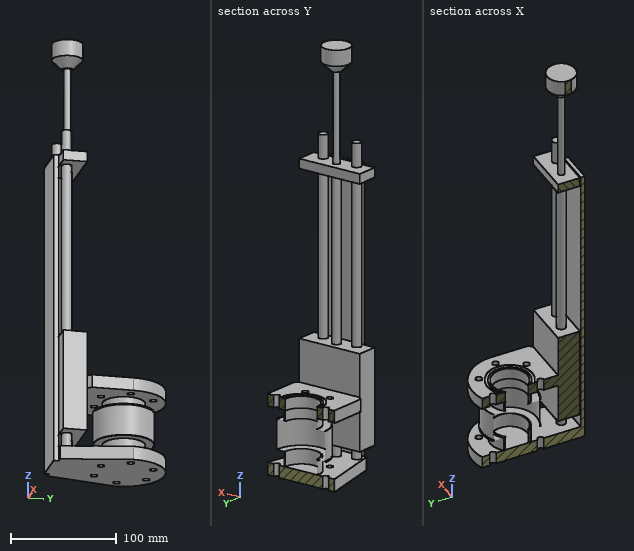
import cadquery as cq
import math

total_height = 426.0
flange_radius = 40.0
total_depth = 113.0
front_y = flange_radius - total_depth

base_thickness = 13.0
base_front_width = 52.0
strip_width = 40.0
strip_thickness = 4.5
strip_back_y = front_y + strip_thickness
rod_diameter = 10.0
rod_spacing = strip_width
rod_y = -60.5
rod_top_z = 331.5

block_width = 73.0
block_depth = 23.5
block_clearance = 1.0
block_front_y = strip_back_y + block_clearance
block_back_y = block_front_y + block_depth
block_bottom_z = 27.3
block_height = 99.0
plate_top_z = 307.0
plate_thickness = 10.2
plate_bottom_z = plate_top_z - plate_thickness

flange_bottom_z = 69.5
flange_thickness = 12.8
flange_top_z = flange_bottom_z + flange_thickness
corner_chamfer = flange_radius - block_width / 2
bore_radius = 18.7
recess_radius = 24.0
recess_depth = 0.5
step_radius = 21.0
step_depth = 0.5

bolt_count = 6
bolt_circle_radius = 29.5
bolt_hole_diameter = 6.5

cuff_radius = 20.5
sleeve_wall = 1.0
sleeve_radius = 29.5
sleeve_bottom_z = 27.5
sleeve_top_z = 59.5

screw_y = -55.0
screw_radius = 4.5
stem_radius = 3.5
knob_radius = 15.0
knob_neck_radius = 5.5
knob_bottom_z = 400.5
knob_cone_top_z = knob_bottom_z + knob_radius - knob_neck_radius

rod_points = [(side * rod_spacing / 2, rod_y) for side in (-1, 1)]


def box_between(width, y_min, y_max, z_min, z_max):
    """Box centred on X = 0."""
    return cq.Workplane("XY").box(
        width, y_max - y_min, z_max - z_min, centered=(True, False, False)
    ).translate((0, y_min, z_min))


def cylinders(points, diameter, z_min, z_max):
    """Vertical cylinders at the given XY points."""
    return (
        cq.Workplane("XY", origin=(0, 0, z_min))
        .pushPoints(points)
        .circle(diameter / 2)
        .extrude(z_max - z_min)
    )


def drill_bolt_holes(body, z_min, z_max):
    """Cut the ring of bolt holes around the bellows axis."""
    points = []
    for index in range(bolt_count):
        angle = 2 * math.pi * index / bolt_count
        points.append((bolt_circle_radius * math.cos(angle), bolt_circle_radius * math.sin(angle)))
    return body.cut(cylinders(points, bolt_hole_diameter, z_min, z_max))


def make_frame():
    """Tapered base with a round back, the upright front strip and the two guide rods."""
    base = (
        cq.Workplane("XY")
        .moveTo(flange_radius, 0)
        .threePointArc((0, flange_radius), (-flange_radius, 0))
        .lineTo(-base_front_width / 2, strip_back_y)
        .lineTo(base_front_width / 2, strip_back_y)
        .close()
        .extrude(base_thickness)
    )
    base = drill_bolt_holes(base, 0, base_thickness)
    strip = box_between(strip_width, front_y, strip_back_y, 0, plate_top_z)
    rods = cylinders(rod_points, rod_diameter, base_thickness, rod_top_z)
    return base.union(strip).union(rods)


def make_top_plate():
    """Plate near the top of the rods, bored for both rods and for the stem of the screw."""
    plate = box_between(block_width, block_front_y, block_back_y, plate_bottom_z, plate_top_z)
    plate = plate.cut(cylinders(rod_points, rod_diameter, plate_bottom_z, plate_top_z))
    return plate.cut(cylinders([(0, screw_y)], 2 * stem_radius, plate_bottom_z, plate_top_z))


def make_carriage():
    """Sliding block with the upper flange, bored for the rods, the screw and the bellows axis."""
    block_top_z = block_bottom_z + block_height
    block = box_between(block_width, block_front_y, block_back_y, block_bottom_z, block_top_z)
    block = block.cut(cylinders(rod_points, rod_diameter, block_bottom_z, block_top_z))
    block = block.cut(cylinders([(0, screw_y)], 2 * screw_radius, block_bottom_z, block_top_z))

    flange = (
        cq.Workplane("XY", origin=(0, 0, flange_bottom_z))
        .moveTo(flange_radius, 0)
        .threePointArc((0, flange_radius), (-flange_radius, 0))
        .lineTo(-flange_radius, block_back_y + corner_chamfer)
        .lineTo(-block_width / 2, block_back_y)
        .lineTo(block_width / 2, block_back_y)
        .lineTo(flange_radius, block_back_y + corner_chamfer)
        .close()
        .extrude(flange_thickness)
    )
    flange = drill_bolt_holes(flange, flange_bottom_z, flange_top_z)

    recess_floor_z = flange_top_z - recess_depth
    step_floor_z = recess_floor_z - step_depth
    axis = [(0, 0)]
    flange = flange.cut(cylinders(axis, 2 * recess_radius, recess_floor_z, flange_top_z))
    flange = flange.cut(cylinders(axis, 2 * step_radius, step_floor_z, flange_top_z))
    flange = flange.cut(cylinders(axis, 2 * bore_radius, flange_bottom_z, flange_top_z))
    return block.union(flange)


def make_bellows():
    """Thin tube between base and flange, swelling to a wider hollow sleeve around its middle."""
    axis = [(0, 0)]
    tube = cylinders(axis, 2 * cuff_radius, base_thickness, flange_bottom_z)
    tube = tube.union(cylinders(axis, 2 * sleeve_radius, sleeve_bottom_z, sleeve_top_z))
    tube = tube.cut(cylinders(axis, 2 * bore_radius, base_thickness, flange_bottom_z))
    cavity = cylinders(
        axis,
        2 * (sleeve_radius - sleeve_wall),
        sleeve_bottom_z + sleeve_wall,
        sleeve_top_z - sleeve_wall,
    )
    return tube.cut(cavity)


def make_screw():
    """Lead screw from the base to the top plate, its thinner stem and the conical knob."""
    return (
        cq.Workplane("XZ", origin=(0, screw_y, 0))
        .moveTo(0, base_thickness)
        .lineTo(screw_radius, base_thickness)
        .lineTo(screw_radius, plate_bottom_z)
        .lineTo(stem_radius, plate_bottom_z)
        .lineTo(stem_radius, knob_bottom_z)
        .lineTo(knob_neck_radius, knob_bottom_z)
        .lineTo(knob_radius, knob_cone_top_z)
        .lineTo(knob_radius, total_height)
        .lineTo(0, total_height)
        .close()
        .revolve(360, (0, 0, 0), (0, 1, 0))
    )


frame = make_frame()
top_plate = make_top_plate()
carriage = make_carriage()
bellows = make_bellows()
screw = make_screw()

result = cq.Compound.makeCompound(
    [frame.val(), top_plate.val(), carriage.val(), bellows.val(), screw.val()]
)